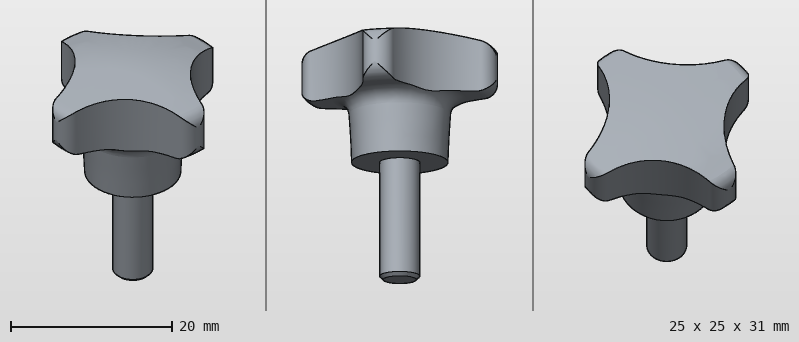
import cadquery as cq
import math


lobe_count = 4
head_radius = 12.5
head_top = 16.0
head_bottom = 8.0
dome_radius = 41.0
rim_round = 2.0

tip_radius = 2.0
scallop_radius = 11.6

hub_radius = 6.0
hub_draft = math.radians(3.0)
hub_fillet = 2.0

stud_radius = 2.5
stud_length = 15.0
stud_chamfer = 0.45


def polar(center, radius, angle):
    """Point at the given angle (radians) on a circle."""
    x, y = center
    return (x + radius * math.cos(angle), y + radius * math.sin(angle))


def make_body():
    """Round body of head and hub: a revolved half profile in X-Z."""
    dome_center = (0, head_top - dome_radius)
    round_offset = head_radius - rim_round
    dome_angle = math.acos(round_offset / (dome_radius - rim_round))
    upper_round = polar(dome_center, dome_radius - rim_round, dome_angle)
    lower_round = (round_offset, head_bottom + rim_round)
    dome_edge = polar(dome_center, dome_radius, dome_angle)
    dome_middle = polar(dome_center, dome_radius, (dome_angle + math.pi / 2) / 2)

    fillet_z = head_bottom - hub_fillet
    wall_end_z = fillet_z + hub_fillet * math.sin(hub_draft)
    wall_end = (hub_radius + wall_end_z * math.tan(hub_draft), wall_end_z)
    fillet_center = (wall_end[0] + hub_fillet * math.cos(hub_draft), fillet_z)
    fillet_middle_angle = (math.pi / 2 + math.pi - hub_draft) / 2

    return (
        cq.Workplane("XZ")
        .lineTo(hub_radius, 0)
        .lineTo(*wall_end)
        .threePointArc(
            polar(fillet_center, hub_fillet, fillet_middle_angle),
            (fillet_center[0], head_bottom),
        )
        .lineTo(round_offset, head_bottom)
        .threePointArc(
            polar(lower_round, rim_round, -math.pi / 4),
            (head_radius, lower_round[1]),
        )
        .lineTo(head_radius, upper_round[1])
        .threePointArc(polar(upper_round, rim_round, dome_angle / 2), dome_edge)
        .threePointArc(dome_middle, (0, head_top))
        .close()
        .revolve(360, (0, 0), (0, 1))
    )


def make_star():
    """Prism with round lobe tips joined by tangent scallops, as tall as the knob."""
    lobe_pitch = 2 * math.pi / lobe_count
    half_pitch = lobe_pitch / 2
    tip_offset = head_radius - tip_radius

    center_gap = scallop_radius + tip_radius
    across = tip_offset * math.sin(half_pitch)
    scallop_offset = tip_offset * math.cos(half_pitch) + math.sqrt(center_gap**2 - across**2)
    scallop_depth_radius = scallop_offset - scallop_radius
    tangent_angle = math.atan2(
        scallop_offset * math.sin(half_pitch),
        scallop_offset * math.cos(half_pitch) - tip_offset,
    )

    def tip_edge(lobe_angle, side):
        tip_center = polar((0, 0), tip_offset, lobe_angle)
        return polar(tip_center, tip_radius, lobe_angle + side * tangent_angle)

    outline = cq.Workplane("XY").moveTo(*tip_edge(0, -1))
    for lobe in range(lobe_count):
        angle = lobe * lobe_pitch
        outline = outline.threePointArc(polar((0, 0), head_radius, angle), tip_edge(angle, 1))
        outline = outline.threePointArc(
            polar((0, 0), scallop_depth_radius, angle + half_pitch),
            tip_edge(angle + lobe_pitch, -1),
        )
    return outline.close().extrude(head_top)


def make_stud():
    """Cylindrical stud below the hub with a chamfered end."""
    return (
        cq.Workplane("XY")
        .circle(stud_radius)
        .extrude(-stud_length)
        .faces("<Z")
        .chamfer(stud_chamfer)
    )


result = make_body().intersect(make_star()).union(make_stud())